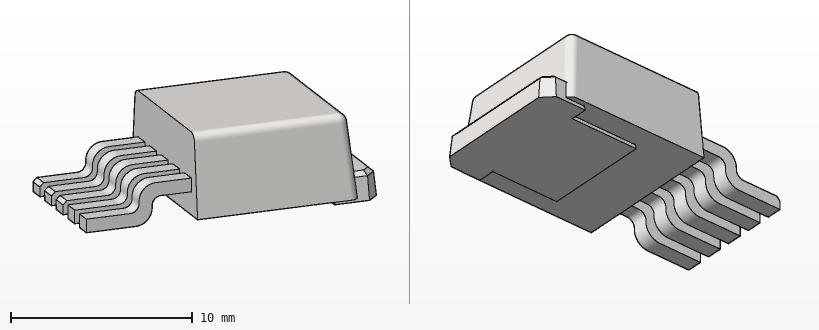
import cadquery as cq

OVERALL_LENGTH = 17.25
DRAFT = 6.0

HOUSING_WIDTH = 9.65
HOUSING_LENGTH = 9.65
HOUSING_BOTTOM = 0.26
HOUSING_TOP = 5.07
HOUSING_FILLET = 0.5

TAB_WIDTH = 9.0
TAB_REAR = 11.02
TAB_STEP = 8.26
TAB_FRONT = 3.67
TAB_NECK_WIDTH = 6.8
TAB_THICKNESS = 1.65
TAB_CORNER_CUT = 0.69
TAB_TOP_CHAMFER = 0.26

LEAD_COUNT = 5
CHAMFERED_LEAD_COUNT = 3
LEAD_ROW_SPAN = 6.8
LEAD_PITCH = LEAD_ROW_SPAN / (LEAD_COUNT - 1)
LEAD_WIDTH = 1.0
LEAD_THICKNESS = 0.8
LEAD_REACH = OVERALL_LENGTH - TAB_REAR
LEAD_TOP = 2.4
LEAD_FOOT_LENGTH = 3.92
OUTER_BEND_RADIUS = 0.98
INNER_BEND_RADIUS = 0.5
TIP_CHAMFER = 0.22


def make_tab():
    """Drafted, stepped plate with cut rear corners and a chamfered top edge."""
    half_width = TAB_WIDTH / 2
    half_neck = TAB_NECK_WIDTH / 2
    outline = [
        (half_neck, TAB_FRONT),
        (half_neck, TAB_STEP),
        (half_width, TAB_STEP),
        (half_width, TAB_REAR - TAB_CORNER_CUT),
        (half_width - TAB_CORNER_CUT, TAB_REAR),
    ]
    mirrored = [(-x, y) for x, y in reversed(outline)]
    plate = cq.Workplane("XY").polyline(outline + mirrored).close().extrude(TAB_THICKNESS, taper=DRAFT)
    return plate.faces(">Z").edges().chamfer(TAB_TOP_CHAMFER)


def make_housing(tab):
    """Block drafted on its sides and rear, upright at the front, with a recess that fits the tab."""
    double_block = (
        cq.Workplane("XY")
        .workplane(offset=HOUSING_BOTTOM)
        .rect(HOUSING_WIDTH, 2 * HOUSING_LENGTH)
        .extrude(HOUSING_TOP - HOUSING_BOTTOM, taper=DRAFT)
    )
    rounded = double_block.edges("not <Z").fillet(HOUSING_FILLET)
    rear_half = cq.Workplane("XY").box(
        HOUSING_WIDTH, HOUSING_LENGTH, HOUSING_TOP, centered=(True, False, False)
    )
    return rounded.intersect(rear_half).cut(tab)


def make_lead(x_center, has_tip_chamfer):
    """S-bent strip that leaves the housing front and ends in a flat foot on the seating plane."""
    lead_bottom = LEAD_TOP - LEAD_THICKNESS
    upright_rear = LEAD_FOOT_LENGTH - LEAD_REACH
    upright_front = upright_rear - LEAD_THICKNESS
    side = (
        cq.Workplane("YZ")
        .moveTo(0, LEAD_TOP)
        .lineTo(upright_front, LEAD_TOP)
        .lineTo(upright_front, LEAD_THICKNESS)
        .lineTo(-LEAD_REACH, LEAD_THICKNESS)
        .lineTo(-LEAD_REACH, 0)
        .lineTo(upright_rear, 0)
        .lineTo(upright_rear, lead_bottom)
        .lineTo(0, lead_bottom)
        .close()
    )
    lead = side.extrude(LEAD_WIDTH / 2, both=True)

    def bend_edge(y, z):
        return cq.selectors.NearestToPointSelector((0, y, z))

    for y, z in ((upright_front, LEAD_TOP), (upright_rear, 0)):
        lead = lead.edges("|X").edges(bend_edge(y, z)).fillet(OUTER_BEND_RADIUS)
    for y, z in ((upright_front, LEAD_THICKNESS), (upright_rear, lead_bottom)):
        lead = lead.edges("|X").edges(bend_edge(y, z)).fillet(INNER_BEND_RADIUS)
    if has_tip_chamfer:
        lead = lead.faces("<Y").edges(">Z").chamfer(TIP_CHAMFER)
    return lead.translate((x_center, 0, 0))


tab = make_tab()
housing = make_housing(tab)
leads = [
    make_lead(i * LEAD_PITCH - LEAD_ROW_SPAN / 2, has_tip_chamfer=i < CHAMFERED_LEAD_COUNT)
    for i in range(LEAD_COUNT)
]

result = cq.Compound.makeCompound([housing.val(), tab.val(), *[lead.val() for lead in leads]])